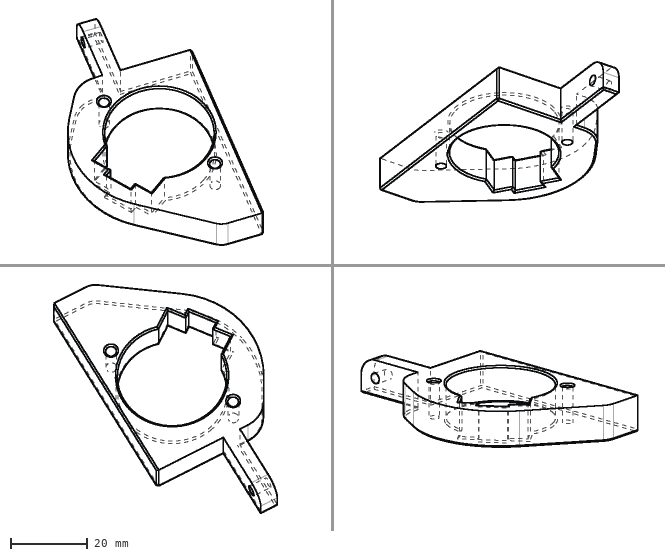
import cadquery as cq
import math

thickness = 10.0
edge_chamfer = 0.5

rim_radius = 24.0
back_y = 17.0
left_x = -22.2
right_x = 33.55
left_slope_normal = math.radians(240)
right_slope_normal = math.radians(-36)
left_corner_radius = 8.0
right_corner_radius = 5.0

arm_length = 20.0
arm_width = 5.0
arm_center_y = -5.4
arm_tip_radius = thickness / 2
hole_diameter = 2.8

bore_radius = 14.3
notch_angle = -54
notch_half_width = 9.0
notch_depth = 17.0
step_half_width = 3.9
step_depth = 19.0

screw_circle_radius = 17.6
countersink_diameter = hole_diameter + 2 * edge_chamfer
countersink_angle = 90
screw_angles = (notch_angle + 90, notch_angle + 270)


def rim_point(angle):
    return (rim_radius * math.cos(angle), rim_radius * math.sin(angle))


def tangent_y(x, angle):
    """Y at x of the line touching the rim where its normal has this angle."""
    return (rim_radius - x * math.cos(angle)) / math.sin(angle)


def make_body():
    body = (
        cq.Workplane("XY")
        .moveTo(left_x, back_y)
        .lineTo(left_x, tangent_y(left_x, left_slope_normal))
        .lineTo(*rim_point(left_slope_normal))
        .threePointArc((0, -rim_radius), rim_point(right_slope_normal))
        .lineTo(right_x, tangent_y(right_x, right_slope_normal))
        .lineTo(right_x, back_y)
        .close()
        .extrude(thickness)
    )
    body = body.edges("|Z").edges("<X").edges("<Y").fillet(left_corner_radius)
    body = body.edges("|Z").edges(">X").edges("<Y").fillet(right_corner_radius)
    return body


def make_arm():
    overlap = 1.5
    return (
        cq.Workplane("XY")
        .box(arm_length + overlap, arm_width, thickness, centered=(False, True, False))
        .translate((left_x - arm_length, arm_center_y, 0))
        .edges("|Y").edges("<X").edges(">Z")
        .fillet(arm_tip_radius)
    )


def make_opening():
    """Solid plug filling the bore and its stepped notch."""
    opening = cq.Workplane("XY").circle(bore_radius).extrude(thickness)
    for depth, half_width in ((notch_depth, notch_half_width), (step_depth, step_half_width)):
        slot = cq.Workplane("XY").center(depth / 2, 0).rect(depth, 2 * half_width).extrude(thickness)
        opening = opening.union(slot)
    return opening.rotate((0, 0, 0), (0, 0, 1), notch_angle)


def cut_screw_holes(part):
    for angle in screw_angles:
        turn = math.radians(angle)
        part = (
            part.faces(">Z")
            .workplane(origin=(0, 0, thickness))
            .center(screw_circle_radius * math.cos(turn), screw_circle_radius * math.sin(turn))
            .cskHole(hole_diameter, countersink_diameter, countersink_angle)
        )
    return part


def cut_pivot_hole(part):
    pivot = (
        cq.Workplane("XZ", origin=(0, arm_center_y, 0))
        .center(left_x - arm_length + arm_tip_radius, arm_tip_radius)
        .circle(hole_diameter / 2)
        .extrude(arm_width / 2, both=True)
    )
    return part.cut(pivot)


def chamfer_opening(part):
    """Break the opening's edges on the top and bottom faces."""
    for face in (">Z", "<Z"):
        opening_edges = part.faces(face).val().innerWires()[0].Edges()
        part = part.newObject(opening_edges).chamfer(edge_chamfer)
    return part


outer = make_body().union(make_arm())

outer = outer.faces("<Z or >Y").edges().chamfer(edge_chamfer)

part = outer.cut(make_opening())
part = chamfer_opening(part)
part = cut_screw_holes(part)
result = cut_pivot_hole(part)